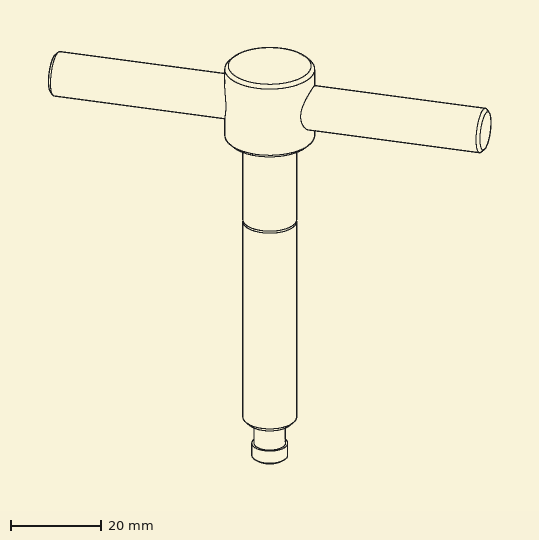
import cadquery as cq

bar_length = 100.0
bar_diameter = 10.0
bar_chamfer = 0.7

head_diameter = 20.0
head_height = 18.0
head_chamfer = 0.8

shank_diameter = 12.0
upper_shank_length = 20.0
lower_shank_length = 50.0
joint_chamfer = 0.5
shank_end_chamfer = 1.0

neck_diameter = 7.0
neck_length = 5.5
button_diameter = 8.0
button_side_height = 3.0
dome_height = 1.5

head_top = head_height / 2
head_bottom = -head_height / 2
shank_joint = head_bottom - upper_shank_length
shank_bottom = shank_joint - lower_shank_length
neck_bottom = shank_bottom - neck_length
dome_base = neck_bottom - button_side_height
tip_bottom = dome_base - dome_height


def cylinder(diameter, bottom, top):
    """Upright cylinder on the Z axis."""
    return cq.Workplane("XY").workplane(offset=bottom).circle(diameter / 2).extrude(top - bottom)


def make_crossbar():
    bar = cq.Workplane("YZ").circle(bar_diameter / 2).extrude(bar_length / 2, both=True)
    return bar.faces("<X or >X").chamfer(bar_chamfer)


def make_head():
    return cylinder(head_diameter, head_bottom, head_top).faces("<Z or >Z").chamfer(head_chamfer)


def make_shank():
    upper = cylinder(shank_diameter, shank_joint, head_bottom)
    lower = cylinder(shank_diameter, shank_bottom, shank_joint)
    lower = lower.faces(">Z").chamfer(joint_chamfer)
    lower = lower.faces("<Z").chamfer(shank_end_chamfer)
    return upper.union(lower)


def make_tip():
    neck = cylinder(neck_diameter, neck_bottom, shank_bottom)
    button_radius = button_diameter / 2
    dome_radius = (button_radius**2 + dome_height**2) / (2 * dome_height)
    button = cylinder(button_diameter, tip_bottom, neck_bottom)
    dome = cq.Workplane("XY").sphere(dome_radius).translate((0, 0, tip_bottom + dome_radius))
    envelope = dome.union(cylinder(button_diameter, dome_base, neck_bottom))
    return neck.union(button.intersect(envelope))


result = make_head().union(make_crossbar()).union(make_shank()).union(make_tip())